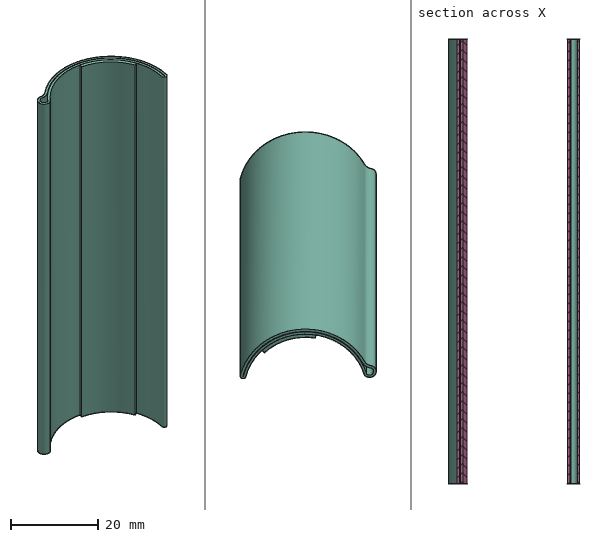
import cadquery as cq
import math

LENGTH = 102.0
OUTER_RADIUS = 15.3
WALL = 0.6
LEAF_GAP = 0.1
TIP_ANGLE = 89.8
NECK_RADIUS = 2.0
LOOP_RADIUS = 1.5
LOOP_X = -7.6
LOOP_Y = -13.4
STRIP_THICKNESS = 0.8
STRIP_START = 121.5
STRIP_END = 177.0

GAP_OUTER_RADIUS = OUTER_RADIUS - WALL
GAP_INNER_RADIUS = GAP_OUTER_RADIUS - LEAF_GAP
INNER_RADIUS = GAP_INNER_RADIUS - WALL
LOOP_DISTANCE = math.hypot(LOOP_X, LOOP_Y)
LOOP_ANGLE = math.degrees(math.atan2(LOOP_Y, LOOP_X)) % 360


def corner_angle(side_a, side_b, opposite):
    """Angle in degrees between two sides of a triangle."""
    cosine = (side_a**2 + side_b**2 - opposite**2) / (2 * side_a * side_b)
    return math.degrees(math.acos(cosine))


def polar(radius, angle, center=(0, 0)):
    """Point at a radius and an angle in degrees around a center."""
    turn = math.radians(angle)
    return (center[0] + radius * math.cos(turn), center[1] + radius * math.sin(turn))


def angle_around_loop(point):
    """Direction in degrees from the loop center to a point."""
    return math.degrees(math.atan2(point[1] - LOOP_Y, point[0] - LOOP_X)) % 360


def folded_outline(outer_radius, inner_radius, loop_radius, neck_radius):
    """Solid curved band with a round tip, running into a round loop at its lower end."""
    loop_center = (LOOP_X, LOOP_Y)

    neck_distance = outer_radius + neck_radius
    neck_angle = LOOP_ANGLE - corner_angle(LOOP_DISTANCE, neck_distance, loop_radius + neck_radius)
    neck_center = polar(neck_distance, neck_angle)
    neck_start = polar(outer_radius, neck_angle)
    neck_end_angle = angle_around_loop(neck_center)
    neck_end = polar(loop_radius, neck_end_angle, loop_center)
    neck_middle_angle = (neck_angle - 180 + neck_end_angle - 180) / 2
    neck_middle = polar(neck_radius, neck_middle_angle, neck_center)

    band_end_angle = LOOP_ANGLE + corner_angle(LOOP_DISTANCE, inner_radius, loop_radius)
    band_end = polar(inner_radius, band_end_angle)
    loop_end_angle = angle_around_loop(band_end) + 360
    loop_middle = polar(loop_radius, (neck_end_angle + loop_end_angle) / 2, loop_center)

    tip_radius = (outer_radius - inner_radius) / 2
    tip_center = polar(inner_radius + tip_radius, TIP_ANGLE)
    tip_end = polar(tip_radius, TIP_ANGLE - 90, tip_center)

    return (
        cq.Workplane("XY")
        .moveTo(*polar(outer_radius, TIP_ANGLE))
        .threePointArc(polar(outer_radius, (TIP_ANGLE + neck_angle) / 2), neck_start)
        .threePointArc(neck_middle, neck_end)
        .threePointArc(loop_middle, band_end)
        .threePointArc(
            polar(inner_radius, (TIP_ANGLE + band_end_angle) / 2),
            polar(inner_radius, TIP_ANGLE),
        )
        .threePointArc(tip_end, polar(outer_radius, TIP_ANGLE))
        .close()
    )


def make_folded_sheet():
    """Sheet folded at the tip and wrapped around an open loop."""
    envelope = folded_outline(OUTER_RADIUS, INNER_RADIUS, LOOP_RADIUS, NECK_RADIUS)
    cavity = folded_outline(
        GAP_OUTER_RADIUS,
        GAP_INNER_RADIUS,
        LOOP_RADIUS - WALL,
        NECK_RADIUS + WALL,
    )
    return envelope.extrude(LENGTH).cut(cavity.extrude(LENGTH))


def make_strip():
    """Curved strip lying against the inner leaf."""
    face_radius = INNER_RADIUS - STRIP_THICKNESS
    middle = (STRIP_START + STRIP_END) / 2
    return (
        cq.Workplane("XY")
        .moveTo(*polar(INNER_RADIUS, STRIP_START))
        .threePointArc(polar(INNER_RADIUS, middle), polar(INNER_RADIUS, STRIP_END))
        .lineTo(*polar(face_radius, STRIP_END))
        .threePointArc(polar(face_radius, middle), polar(face_radius, STRIP_START))
        .close()
        .extrude(LENGTH)
    )


folded_sheet = make_folded_sheet()
strip = make_strip()

result = cq.Compound.makeCompound([folded_sheet.val(), strip.val()])